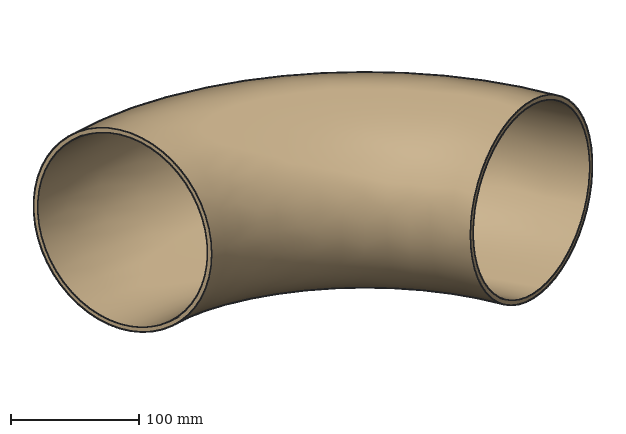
import cadquery as cq

OUTER_DIAMETER = 168.3
WALL_THICKNESS = 4.0
BEND_RADIUS = 229.0
BEND_ANGLE = 90.0

OUTER_RADIUS = OUTER_DIAMETER / 2
INNER_RADIUS = OUTER_RADIUS - WALL_THICKNESS


def make_elbow():
    """Sweep the pipe ring around a vertical bend axis through the origin.

    One open end faces -Y, centred on the -X axis; the other faces +X,
    centred on the +Y axis.
    """
    ring = (
        cq.Workplane("XZ")
        .center(-BEND_RADIUS, 0)
        .circle(OUTER_RADIUS)
        .circle(INNER_RADIUS)
    )
    axis_start = (BEND_RADIUS, 0)
    axis_end = (BEND_RADIUS, -1)
    return ring.revolve(BEND_ANGLE, axis_start, axis_end)


result = make_elbow()